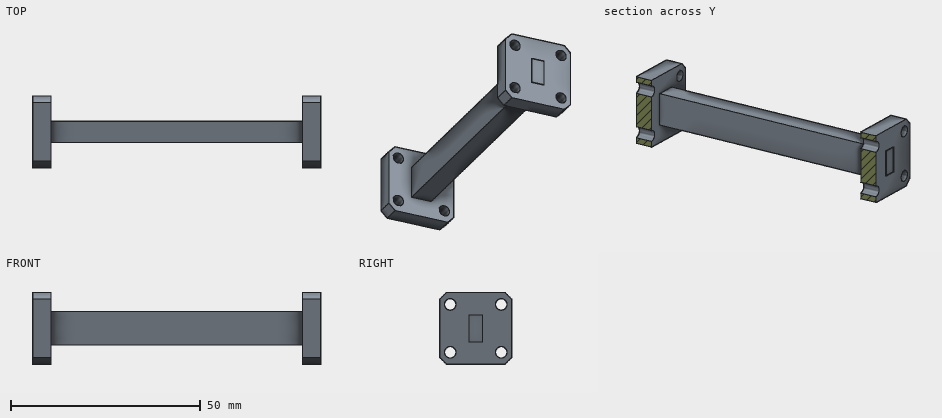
import cadquery as cq

length = 76.2
flange_side = 19.05
flange_thickness = 4.9
corner_chamfer = 1.8

bar_width = 5.7
bar_height = 8.9

hole_diameter = 3.0
hole_pitch_y = 13.5
hole_pitch_z = 12.65

recess_width = 3.6
recess_height = 7.1
recess_depth = 0.2


def make_flange():
    """Flange on the -X end, with its bolt holes and recess."""
    plate = (
        cq.Workplane("YZ", origin=(-length / 2, 0, 0))
        .rect(flange_side, flange_side)
        .extrude(flange_thickness)
        .edges("|X")
        .chamfer(corner_chamfer)
    )
    holes = (
        cq.Workplane("YZ", origin=(-length / 2, 0, 0))
        .rect(hole_pitch_y, hole_pitch_z, forConstruction=True)
        .vertices()
        .circle(hole_diameter / 2)
        .extrude(flange_thickness)
    )
    recess = (
        cq.Workplane("YZ", origin=(-length / 2, 0, 0))
        .rect(recess_width, recess_height)
        .extrude(recess_depth)
    )
    return plate.cut(holes).cut(recess)


bar_length = length - 2 * flange_thickness
bar = cq.Workplane("XY").box(bar_length, bar_width, bar_height)

flange = make_flange()
result = bar.union(flange).union(flange.mirror("YZ"))